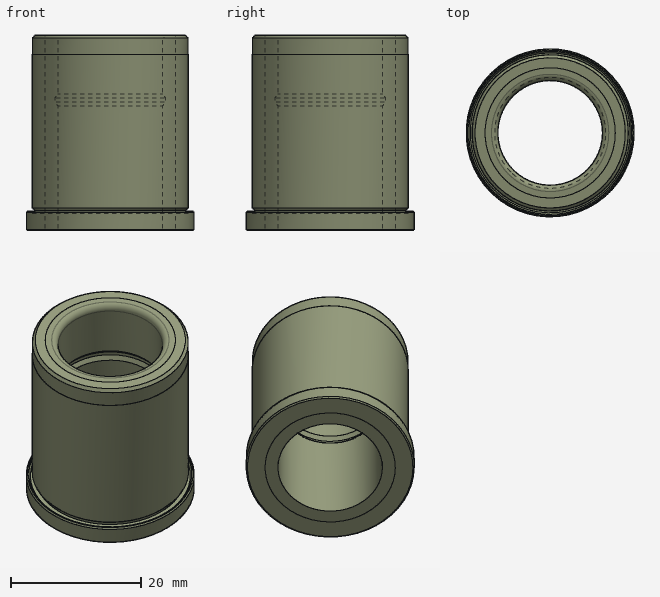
import cadquery as cq

height = 30.0
flange_radius = 12.9
flange_height = 3.0
body_radius = 12.0

sleeve_radius = 10.0
bore_radius = 8.0
mouth_radius = 1.0

flange_chamfer = 0.2
body_top_chamfer = 0.45
collar_height = 3.0
collar_radius = 11.97

undercut_outer_radius = 12.5
undercut_floor_radius = 12.27
undercut_root_radius = 11.55
undercut_depth = 0.35
body_foot_height = 3.5

groove_top = height - 9.0
groove_depth = 0.5
groove_flank_height = 0.65
groove_land_height = 0.57


def revolve_profile(profile):
    """Turn a closed radius/height outline around the Z axis."""
    return profile.close().revolve(360, (0, 0, 0), (0, 1, 0))


def make_housing():
    """Flanged outer bush with an undercut shoulder and a slightly reduced top collar."""
    undercut_floor = flange_height - undercut_depth
    foot_chamfer = body_radius - undercut_root_radius
    profile = (
        cq.Workplane("XZ")
        .moveTo(sleeve_radius, 0)
        .lineTo(flange_radius - flange_chamfer, 0)
        .lineTo(flange_radius, flange_chamfer)
        .lineTo(flange_radius, flange_height - flange_chamfer)
        .lineTo(flange_radius - flange_chamfer, flange_height)
        .lineTo(undercut_outer_radius, flange_height)
        .lineTo(undercut_floor_radius, undercut_floor)
        .lineTo(undercut_root_radius, undercut_floor)
        .lineTo(undercut_root_radius, body_foot_height - foot_chamfer)
        .lineTo(body_radius, body_foot_height)
        .lineTo(body_radius, height - collar_height)
        .lineTo(collar_radius, height - collar_height)
        .lineTo(collar_radius, height - body_top_chamfer)
        .lineTo(collar_radius - body_top_chamfer, height)
        .lineTo(sleeve_radius, height)
    )
    return revolve_profile(profile)


def make_groove_cutter():
    """Ring with sloping flanks that cuts the groove in the bore."""
    groove_radius = bore_radius + groove_depth
    land_top = groove_top - groove_flank_height
    land_bottom = land_top - groove_land_height
    groove_bottom = land_bottom - groove_flank_height
    inner_radius = bore_radius / 2
    profile = (
        cq.Workplane("XZ")
        .moveTo(inner_radius, groove_top)
        .lineTo(bore_radius, groove_top)
        .lineTo(groove_radius, land_top)
        .lineTo(groove_radius, land_bottom)
        .lineTo(bore_radius, groove_bottom)
        .lineTo(inner_radius, groove_bottom)
    )
    return revolve_profile(profile)


def make_sleeve():
    """Plain liner with a rounded mouth and one internal groove."""
    tube = cq.Workplane("XY").circle(sleeve_radius).circle(bore_radius).extrude(height)
    rounded = tube.faces(">Z").edges(cq.selectors.RadiusNthSelector(0)).fillet(mouth_radius)
    return rounded.cut(make_groove_cutter())


housing = make_housing()
sleeve = make_sleeve()

result = cq.Compound.makeCompound([housing.val(), sleeve.val()])